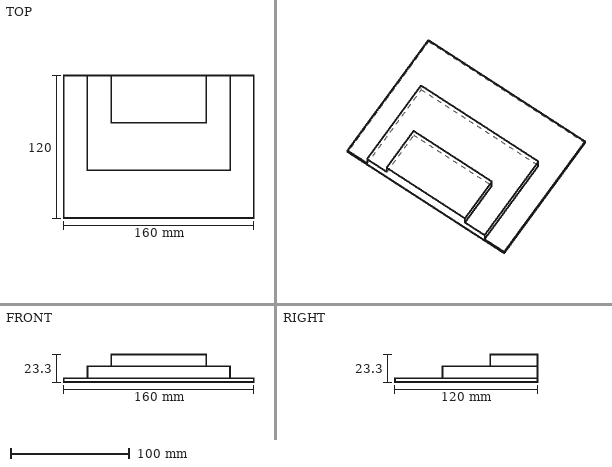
import cadquery as cq

base_width = 160.0
base_depth = 120.0
base_thickness = 3.3

step_count = 2
step_height = 10.0
side_setback = 20.0
front_setback = 40.0

back_y = base_depth / 2


def plate(level, bottom_z, thickness):
    """Plate at the given level (0 is the base), set back from the level below."""
    width = base_width - 2 * level * side_setback
    depth = base_depth - level * front_setback
    return (
        cq.Workplane("XY", origin=(0, back_y - depth / 2, bottom_z))
        .box(width, depth, thickness, centered=(True, True, False))
    )


result = plate(0, 0, base_thickness)
for level in range(1, step_count + 1):
    step_bottom_z = base_thickness + (level - 1) * step_height
    result = result.union(plate(level, step_bottom_z, step_height))